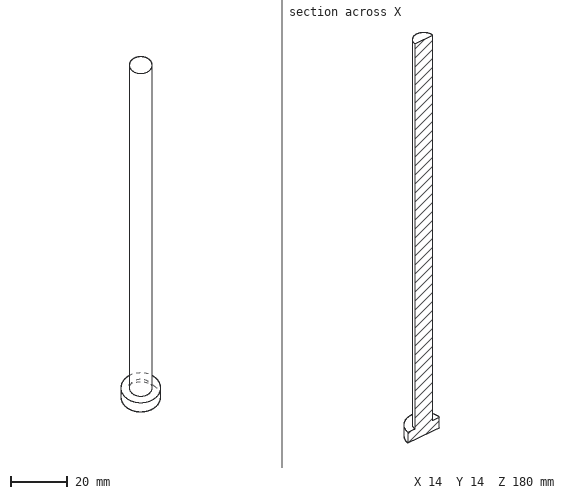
import cadquery as cq

overall_length = 180.0
head_diameter = 14.0
head_height = 5.0
shank_diameter = 8.0


def make_head():
    """Plain round head standing on the XY plane."""
    return cq.Workplane("XY").circle(head_diameter / 2).extrude(head_height)


def make_shank():
    """Round shank running from the base up to the full length of the pin."""
    return cq.Workplane("XY").circle(shank_diameter / 2).extrude(overall_length)


result = make_head().union(make_shank())